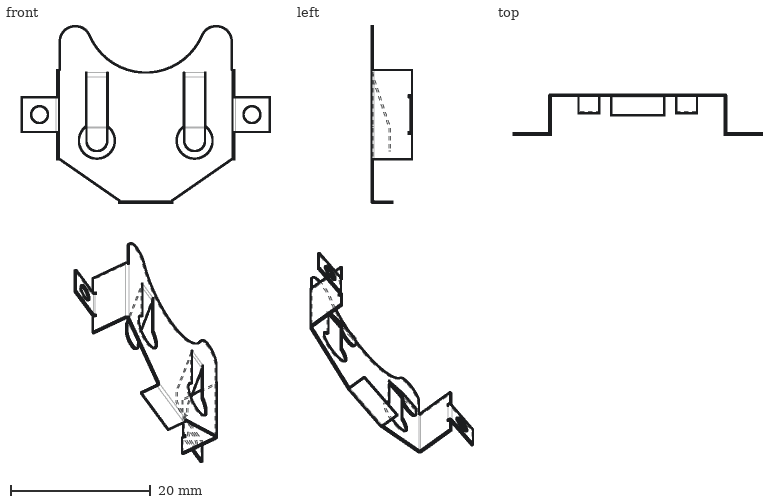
import cadquery as cq
import math

sheet = 0.25
bend_inner = 0.125
bend_outer = bend_inner + sheet

half_length = 17.78
depth = 5.83
height = 25.4
mid_height = height / 2

panel_half_width = 12.35
ear_radius = 2.25
ear_x = panel_half_width - ear_radius
ear_z = height - ear_radius
scallop_radius = 8.75

wall_height = 12.8
wall_bottom = mid_height - wall_height / 2
wall_inner_x = panel_half_width + bend_inner

lug_height = 5.0
lug_hole_diameter = 2.4
lug_hole_x = 15.22
relief_width = 0.25
relief_depth = 0.5

tab_width = 7.6
tab_depth = 3.02

finger_x = 7.0
finger_width = 3.02
finger_root_z = 18.7
finger_tip_radius = finger_width / 2
finger_depth = 2.75
finger_angle = math.radians(18.3)
finger_root_bend = 2.0
keyhole_radius = 2.55
keyhole_z = 8.95
slot_clearance = 0.05


def bent_leg(origin, along, normal, leg, width):
    """Sheet strip that continues along a flat, turns 90 degrees and ends in a straight leg.

    The origin lies on the outer face where the bend starts, and the width follows the normal.
    """
    diagonal = math.sqrt(0.5)
    profile = (
        cq.Workplane(cq.Plane(origin=origin, xDir=along, normal=normal))
        .threePointArc((bend_outer * diagonal, bend_outer * (1 - diagonal)), (bend_outer, bend_outer))
        .lineTo(bend_outer, leg)
        .lineTo(bend_inner, leg)
        .lineTo(bend_inner, bend_outer)
        .threePointArc((bend_inner * diagonal, bend_outer - bend_inner * diagonal), (0, sheet))
        .close()
    )
    return profile.extrude(width)


def make_panel():
    center_distance = ear_radius + scallop_radius
    scallop_z = ear_z + math.sqrt(center_distance**2 - ear_x**2)
    join_x = ear_x * scallop_radius / center_distance
    join_z = scallop_z - (scallop_z - ear_z) * scallop_radius / center_distance
    return (
        cq.Workplane("XZ")
        .moveTo(-tab_width / 2, bend_outer)
        .lineTo(tab_width / 2, bend_outer)
        .lineTo(panel_half_width, wall_bottom)
        .lineTo(panel_half_width, ear_z)
        .threePointArc((ear_x, height), (join_x, join_z))
        .threePointArc((0, scallop_z - scallop_radius), (-join_x, join_z))
        .threePointArc((-ear_x, height), (-panel_half_width, ear_z))
        .lineTo(-panel_half_width, wall_bottom)
        .close()
        .extrude(sheet)
    )


def make_bottom_tab():
    return bent_leg((tab_width / 2, 0, bend_outer), (0, 0, -1), (-1, 0, 0), tab_depth, tab_width)


def make_side_wall():
    """Right-hand wall with its outward mounting lug."""
    wall_top = wall_bottom + wall_height
    wall = bent_leg((panel_half_width, 0, wall_top), (1, 0, 0), (0, 0, -1), depth, wall_height)

    wall_middle_x = wall_inner_x + sheet / 2
    lug_seat = cq.Workplane("XY").box(2 * sheet, 2 * bend_outer, lug_height)
    wall = wall.cut(lug_seat.translate((wall_middle_x, -depth, mid_height)))
    relief = cq.Workplane("XY").box(2 * sheet, 2 * relief_depth, relief_width)
    for side in (-1, 1):
        relief_z = mid_height + side * (lug_height + relief_width) / 2
        wall = wall.cut(relief.translate((wall_middle_x, -depth, relief_z)))

    lug = bent_leg(
        (wall_inner_x, -depth + bend_outer, mid_height - lug_height / 2),
        (0, -1, 0),
        (0, 0, 1),
        half_length - wall_inner_x,
        lug_height,
    )
    hole = (
        cq.Workplane("XZ")
        .center(lug_hole_x, mid_height)
        .circle(lug_hole_diameter / 2)
        .extrude(depth)
    )
    return wall.union(lug.cut(hole))


def make_keyhole():
    slot_height = finger_root_z - keyhole_z
    slot_width = finger_width + 2 * slot_clearance
    slot = (
        cq.Workplane("XZ")
        .center(finger_x, keyhole_z + slot_height / 2)
        .rect(slot_width, slot_height)
        .extrude(sheet)
    )
    round_end = cq.Workplane("XZ").center(finger_x, keyhole_z).circle(keyhole_radius).extrude(sheet)
    return slot.union(round_end)


def make_finger():
    """Spring finger: bends forward at the root, slopes down, then hangs parallel to the panel."""
    root_y = -sheet - finger_root_bend
    tip_y = -finger_depth + bend_outer

    def root_point(radius, angle):
        return (root_y + radius * math.cos(angle), finger_root_z - radius * math.sin(angle))

    slope_start_y, slope_start_z = root_point(finger_root_bend, finger_angle)
    slope_end_y = tip_y - bend_outer * math.cos(finger_angle)
    slope_end_z = slope_start_z - (slope_start_y - slope_end_y) / math.tan(finger_angle)
    tip_bend_z = slope_end_z - bend_outer * math.sin(finger_angle)

    def tip_point(radius, angle):
        return (tip_y - radius * math.cos(angle), tip_bend_z + radius * math.sin(angle))

    finger_bottom = keyhole_z - finger_tip_radius
    root_back = finger_root_bend + sheet
    half_angle = finger_angle / 2
    strip = (
        cq.Workplane("YZ", origin=(finger_x - finger_width / 2, 0, 0))
        .moveTo(*root_point(finger_root_bend, 0))
        .threePointArc(root_point(finger_root_bend, half_angle), root_point(finger_root_bend, finger_angle))
        .lineTo(*tip_point(bend_outer, finger_angle))
        .threePointArc(tip_point(bend_outer, half_angle), tip_point(bend_outer, 0))
        .lineTo(-finger_depth, finger_bottom)
        .lineTo(-finger_depth + sheet, finger_bottom)
        .lineTo(*tip_point(bend_inner, 0))
        .threePointArc(tip_point(bend_inner, half_angle), tip_point(bend_inner, finger_angle))
        .lineTo(*root_point(root_back, finger_angle))
        .threePointArc(root_point(root_back, half_angle), root_point(root_back, 0))
        .close()
        .extrude(finger_width)
    )
    rounded_outline = (
        cq.Workplane("XZ")
        .moveTo(finger_x - finger_tip_radius, finger_root_z)
        .lineTo(finger_x - finger_tip_radius, keyhole_z)
        .threePointArc((finger_x, finger_bottom), (finger_x + finger_tip_radius, keyhole_z))
        .lineTo(finger_x + finger_tip_radius, finger_root_z)
        .close()
        .extrude(depth)
    )
    return strip.intersect(rounded_outline)


def both_sides(shape):
    return shape, shape.mirror("YZ")


result = make_panel().union(make_bottom_tab())
for keyhole in both_sides(make_keyhole()):
    result = result.cut(keyhole)
for finger in both_sides(make_finger()):
    result = result.union(finger)
for side_wall in both_sides(make_side_wall()):
    result = result.union(side_wall)